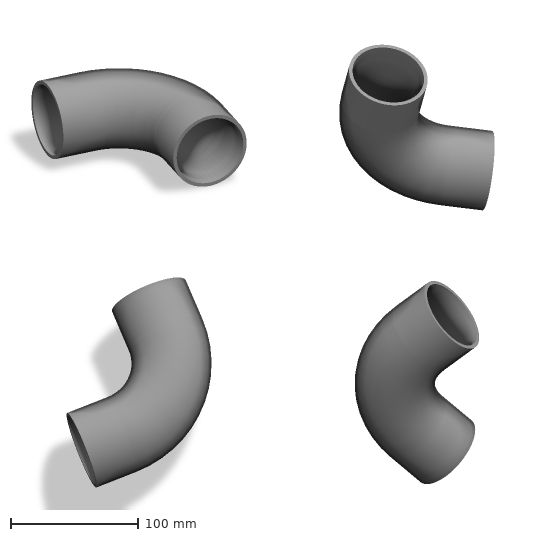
import cadquery as cq
import math

outer_diameter = 63.0
wall = 3.0
overall_length = 128.5
bend_radius = outer_diameter

outer_radius = outer_diameter / 2
inner_radius = outer_radius - wall
straight_length = overall_length - bend_radius - outer_radius

mid_x = bend_radius * (1 - math.cos(math.radians(45)))
mid_y = bend_radius * math.sin(math.radians(45))
centreline = (
    cq.Workplane("XY")
    .moveTo(0, -straight_length)
    .lineTo(0, 0)
    .threePointArc((mid_x, mid_y), (bend_radius, bend_radius))
    .lineTo(bend_radius + straight_length, bend_radius)
)

result = (
    cq.Workplane("XZ", origin=(0, -straight_length, 0))
    .circle(outer_radius)
    .circle(inner_radius)
    .sweep(centreline)
)